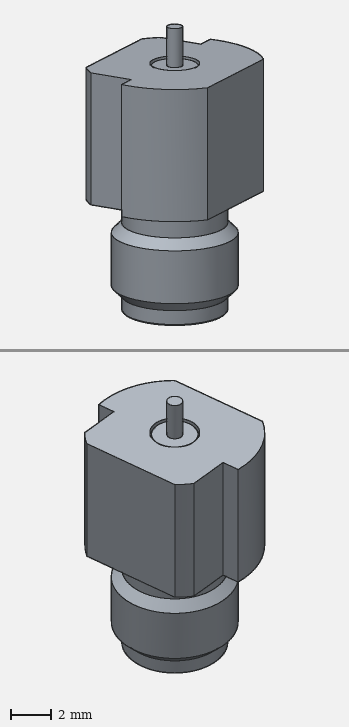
import cadquery as cq

total_height = 14.84
pin_length = 1.93
body_height = 6.9
body_top = total_height - pin_length
body_bottom = body_top - body_height

body_diameter = 9.0
flat_width = 7.0
step_x = -0.5

neck_radius = 2.65
collar_radius = 3.18
cone_height = collar_radius - neck_radius
tip_height = 0.8
collar_length = 2.76
tip_chamfer = 0.07

pin_diameter = 0.8
insulator_radius = 1.25
insulator_depth = 0.1
insulator_chamfer_width = 0.09
insulator_chamfer_height = 0.15


def make_body():
    """Round block with flats at +-X, and at +-Y on the -X side of the step."""
    disc = cq.Workplane("XY").circle(body_diameter / 2).extrude(body_height)
    square_part = cq.Workplane("XY").rect(flat_width, flat_width).extrude(body_height)
    wide_length = flat_width / 2 - step_x
    wide_part = (
        cq.Workplane("XY")
        .center(step_x + wide_length / 2, 0)
        .rect(wide_length, body_diameter)
        .extrude(body_height)
    )
    return disc.intersect(square_part.union(wide_part)).translate((0, 0, body_bottom))


def make_barrel():
    """Neck, collar with conical shoulders, and chamfered tip, turned about Z."""
    collar_bottom = tip_height + cone_height
    collar_top = collar_bottom + collar_length
    profile = [
        (0, 0),
        (neck_radius - tip_chamfer, 0),
        (neck_radius, tip_chamfer),
        (neck_radius, tip_height),
        (collar_radius, collar_bottom),
        (collar_radius, collar_top),
        (neck_radius, collar_top + cone_height),
        (neck_radius, body_bottom),
        (0, body_bottom),
    ]
    return cq.Workplane("XZ").polyline(profile).close().revolve(360, (0, 0), (0, 1))


def make_recess():
    """Round recess whose floor is the chamfered top of the insulator."""
    bore_depth = insulator_depth + insulator_chamfer_height
    bore = (
        cq.Workplane("XY", origin=(0, 0, body_top))
        .circle(insulator_radius)
        .extrude(-bore_depth)
    )
    insulator_tip = (
        cq.Workplane("XY", origin=(0, 0, body_top - bore_depth))
        .circle(insulator_radius)
        .workplane(offset=insulator_chamfer_height)
        .circle(insulator_radius - insulator_chamfer_width)
        .loft(ruled=True)
    )
    return bore.cut(insulator_tip)


def make_pin():
    """Contact pin standing on the insulator."""
    return (
        cq.Workplane("XY", origin=(0, 0, body_top - insulator_depth))
        .circle(pin_diameter / 2)
        .extrude(pin_length + insulator_depth)
    )


result = make_body().union(make_barrel()).cut(make_recess()).union(make_pin())